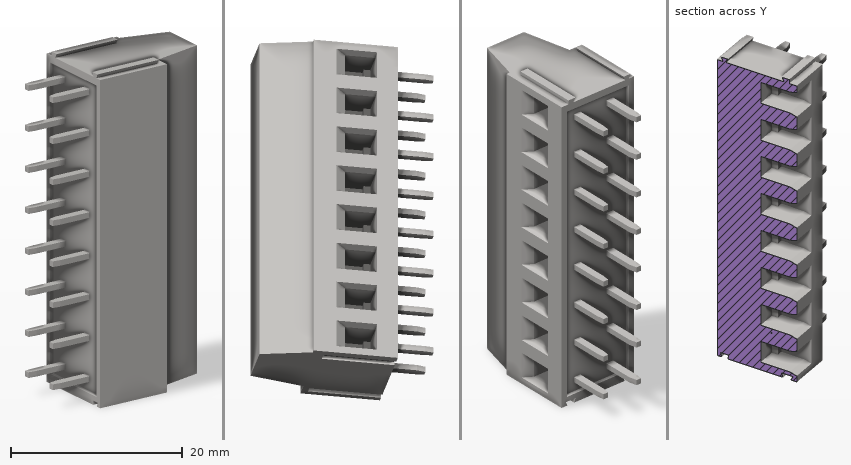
import cadquery as cq


overall_length = 41.25
width = 11.0
depth = 16.0
length = 40.7
left_shoulder = 10.0
right_shoulder = 9.45
left_slope_foot = 0.5
right_slope_foot = 9.15
crown_left = 2.1
crown_right = 7.7

recess_wall = 0.8
recess_bottom = 1.2
recess_top = 39.8
recess_depth = 0.5

rib_height = overall_length - length
rib_length = 8.65
groove_depth = 0.55
ribs = [
    ((1.05, 1.8), (1.05, 2.1)),
    ((9.7, 10.23), (9.45, 10.47)),
]
grooves = [
    ((0.9, 1.9), (0.6, 2.1)),
    ((9.55, 10.35), (9.45, 10.47)),
]

terminal_count = 8
row_span = 35.6
pitch = row_span / (terminal_count - 1)
first_pin_z = 2.72

pin_length = 4.7
pin_thickness = 0.7
pin_taper_length = 1.05
tip_inset_right = 0.12
pins = [
    ((2.3, 3.25), 0.12),
    ((7.2, 8.25), 0.25),
]

entry_offset = -0.2
entry_y_low = 2.47
entry_y_high = 7.25
entry_height = 3.35
throat_y_high = 6.1
throat_height = 2.8
funnel_depth = 0.95
throat_depth = 4.95
ledge_width = 0.8
ledge_depth = 4.12


def box(x_range, y_range, z_range):
    """Box given by its limits along each axis."""
    (x0, x1), (y0, y1), (z0, z1) = x_range, y_range, z_range
    return cq.Workplane("XY").box(x1 - x0, y1 - y0, z1 - z0, centered=False).translate((x0, y0, z0))


def housing():
    outline = [
        (0, 0),
        (width, 0),
        (width, right_shoulder),
        (right_slope_foot, right_shoulder),
        (crown_right, depth),
        (crown_left, depth),
        (left_slope_foot, left_shoulder),
        (0, left_shoulder),
    ]
    return cq.Workplane("XY").polyline(outline).close().extrude(length)


def dovetail(z_base, height, base, top):
    """Trapezoidal bar along Y; base and top are X limits of its lower and upper sides."""
    z_top = z_base + height
    section = [(base[0], z_base), (base[1], z_base), (top[1], z_top), (top[0], z_top)]
    return cq.Workplane("XZ").polyline(section).close().extrude(-rib_length)


def pin(x_range, tip_inset_left, z):
    """Flat pin with a tip tapered on its two narrow sides."""
    x_left, x_right = x_range
    y_taper = pin_taper_length - pin_length
    outline = [
        (x_left, recess_depth),
        (x_left, y_taper),
        (x_left + tip_inset_left, -pin_length),
        (x_right - tip_inset_right, -pin_length),
        (x_right, y_taper),
        (x_right, recess_depth),
    ]
    blade = cq.Workplane("XY").polyline(outline).close().extrude(pin_thickness)
    return blade.translate((0, 0, z - pin_thickness / 2))


def entry_section(y_high, height):
    """Corner points in Y and Z of an entry cross-section centred on Z = 0."""
    half = height / 2
    return [(entry_y_low, -half), (y_high, -half), (y_high, half), (entry_y_low, half)]


def wire_entry(z):
    """Pocket with a funnel mouth, a straight throat and a ledge at its end."""
    half = throat_height / 2
    funnel = (
        cq.Workplane("YZ")
        .polyline(entry_section(entry_y_high, entry_height))
        .close()
        .workplane(offset=funnel_depth)
        .polyline(entry_section(throat_y_high, throat_height))
        .close()
        .loft(ruled=True)
    )
    throat = box((funnel_depth, throat_depth), (entry_y_low, throat_y_high), (-half, half))
    ledge = box((ledge_depth, throat_depth), (entry_y_low, entry_y_low + ledge_width), (-half, half))
    return funnel.union(throat.cut(ledge)).translate((0, 0, z))


result = housing()
result = result.cut(
    box((recess_wall, width - recess_wall), (0, recess_depth), (recess_bottom, recess_top))
)

for base, top in ribs:
    result = result.union(dovetail(length, rib_height, base, top))
for base, top in grooves:
    result = result.cut(dovetail(0, groove_depth, base, top))

for index in range(terminal_count):
    pin_z = first_pin_z + index * pitch
    result = result.cut(wire_entry(pin_z + entry_offset))
    for x_range, tip_inset_left in pins:
        result = result.union(pin(x_range, tip_inset_left, pin_z))